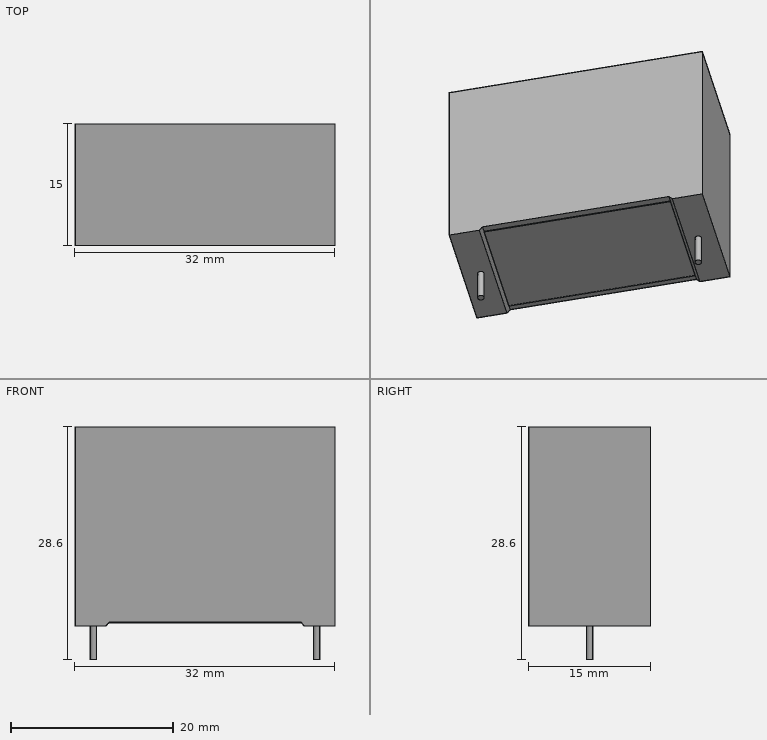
import cadquery as cq

case_length = 32.0
case_width = 15.0
total_height = 28.65
pin_length = 4.13
case_height = total_height - pin_length

relief_top_length = 23.55
relief_bottom_length = 24.4
relief_depth = 0.48

filling_thickness = 0.13
wall_thickness = 0.8
filling_width = case_width - 2 * wall_thickness

pin_diameter = 0.8
pin_spacing = 27.5


def make_case():
    """Solid case, centred on the Z axis."""
    return cq.Workplane("XY").box(case_length, case_width, case_height, centered=(True, True, False))


def make_relief():
    """Trapezoidal bar to cut from the underside, running through the full width."""
    return (
        cq.Workplane("XZ")
        .moveTo(-relief_bottom_length / 2, 0)
        .lineTo(-relief_top_length / 2, relief_depth)
        .lineTo(relief_top_length / 2, relief_depth)
        .lineTo(relief_bottom_length / 2, 0)
        .close()
        .extrude(case_width / 2, both=True)
    )


def make_filling():
    """Plate on the relief ceiling, between the sloping ends and the long walls."""
    return (
        cq.Workplane("XY", origin=(0, 0, relief_depth))
        .rect(relief_top_length, filling_width)
        .extrude(-filling_thickness)
    )


def make_pins():
    """Two pins hanging from the feet, on the case's centre line."""
    pin_centres = [(-pin_spacing / 2, 0), (pin_spacing / 2, 0)]
    return cq.Workplane("XY").pushPoints(pin_centres).circle(pin_diameter / 2).extrude(-pin_length)


result = make_case().cut(make_relief()).union(make_filling()).union(make_pins())